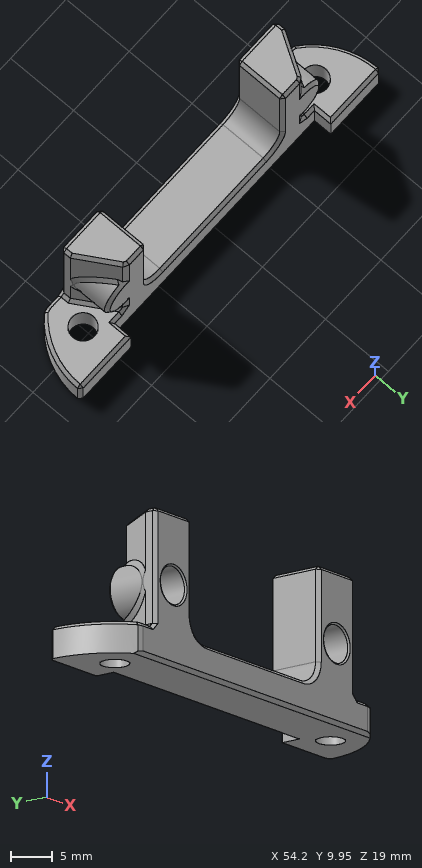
import cadquery as cq
import math

length = 54.2
depth = 9.95
height = 19.0
base_height = 4.05
bevel = 0.5

ear_arc_radius = 11.9
ear_arc_center_y = 9.55
ear_corner_front_x = 21.8
ear_corner_depth = 0.15
ear_inner_x = 18.0
screw_x = 20.9
screw_y = 4.95
screw_diameter = 3.6

body_depth = 7.35
post_inner_x = 12.3
post_outer_x = 19.35
post_straight_depth = 1.5
saddle_radius = 3.0

boss_x = 15.8
boss_z = 10.0
boss_radius = 3.45
bore_diameter = 4.7
bore_bevel = 0.2
bore_depth = 6.4
bore_floor_outer_x = 17.9
bevel_angle = 45

end_x = length / 2
slope_per_depth = (post_outer_x - boss_x) / (body_depth - post_straight_depth)


def ear_arc_x(y):
    """X of the curved end of the right ear at a given Y."""
    rise = ear_arc_center_y - y
    return end_x - ear_arc_radius + math.sqrt(ear_arc_radius**2 - rise**2)


def half_base():
    """Right half of the base: the bridge floor and one ear."""
    middle_y = ear_arc_center_y / 2
    return (
        cq.Workplane("XY")
        .lineTo(ear_corner_front_x, 0)
        .lineTo(ear_arc_x(ear_corner_depth), ear_corner_depth)
        .threePointArc((ear_arc_x(middle_y), middle_y), (end_x, ear_arc_center_y))
        .lineTo(end_x, depth)
        .lineTo(ear_inner_x, depth)
        .lineTo(ear_inner_x, body_depth)
        .lineTo(0, body_depth)
        .close()
        .extrude(base_height)
    )


def post():
    """Right post, with a sloped outer face that narrows it toward the back."""
    return (
        cq.Workplane("XY")
        .moveTo(post_inner_x, 0)
        .lineTo(post_outer_x, 0)
        .lineTo(post_outer_x, post_straight_depth)
        .lineTo(boss_x, body_depth)
        .lineTo(post_inner_x, body_depth)
        .close()
        .extrude(height)
    )


def boss():
    """Boss on a patch of the sloped face, with a bevel around its root.

    Patch and boss are made overlong so that the bevel closes all round, then trimmed to the post.
    """
    reach = length / 5
    patch_half_height = boss_radius + 2 * bevel
    patch_thickness = 1.1
    front_y = post_straight_depth - reach
    back_y = body_depth + reach
    front_x = post_outer_x + slope_per_depth * reach
    back_x = boss_x - slope_per_depth * reach
    patch = (
        cq.Workplane("XY", origin=(0, 0, boss_z))
        .moveTo(front_x, front_y)
        .lineTo(back_x, back_y)
        .lineTo(back_x - patch_thickness, back_y)
        .lineTo(front_x - patch_thickness, front_y)
        .close()
        .extrude(patch_half_height, both=True)
    )
    pin = cq.Workplane("XZ", origin=(boss_x, back_y, boss_z)).circle(boss_radius).extrude(back_y)
    rooted = patch.union(pin).edges("%ELLIPSE").edges(">Y").chamfer(bevel)

    kept_depth = body_depth - post_straight_depth
    post_side = (
        cq.Workplane("XY")
        .box(post_outer_x, kept_depth, height, centered=False)
        .translate((0, post_straight_depth, 0))
    )
    end_bevel = (
        cq.Workplane("XZ", origin=(boss_x, body_depth, boss_z))
        .circle(boss_radius - bevel)
        .extrude(kept_depth, taper=-bevel_angle)
    )
    return rooted.intersect(post_side).intersect(end_bevel)


def is_beveled(edge):
    """True for the edges of the right half that carry the common bevel."""
    center = edge.Center()
    tol = 0.005
    on_front = abs(center.y) < tol
    on_body_back = abs(center.y - body_depth) < tol and center.z > tol
    on_ear_back = abs(center.y - depth) < tol and center.z > tol
    on_post_top = abs(center.z - height) < tol
    on_ear_top = abs(center.z - base_height) < tol and center.x > post_inner_x
    at_ear_front_corner = on_front and center.x > post_outer_x and tol < center.z < base_height - tol
    at_middle = center.x < tol
    in_back_notch = on_body_back and abs(center.x - ear_inner_x) < tol
    at_ear_inner_corner = on_ear_back and abs(center.x - ear_inner_x) < tol
    if at_middle or in_back_notch or at_ear_inner_corner or at_ear_front_corner:
        return False
    return on_front or on_body_back or on_ear_back or on_post_top or on_ear_top


def bore():
    """Blind bore with a beveled mouth; its floor corner slopes like the post."""
    radius = bore_diameter / 2
    mouth_plane = cq.Workplane("XZ", origin=(boss_x, 0, boss_z))
    hole = mouth_plane.circle(radius).extrude(-bore_depth)
    countersink = mouth_plane.circle(radius + bore_bevel).extrude(-bore_bevel, taper=bevel_angle)
    corner_front_x = bore_floor_outer_x + slope_per_depth * bore_depth
    limit = (
        cq.Workplane("XY")
        .lineTo(corner_front_x, 0)
        .lineTo(bore_floor_outer_x, bore_depth)
        .lineTo(0, bore_depth)
        .close()
        .extrude(height)
    )
    return hole.intersect(limit).union(countersink)


half = half_base().union(post())
saddle_corner = cq.selectors.NearestToPointSelector((post_inner_x, body_depth / 2, base_height))
half = half.edges(saddle_corner).fillet(saddle_radius)

beveled_edges = [edge for edge in half.edges().vals() if is_beveled(edge)]
half = half.newObject(beveled_edges).chamfer(bevel)
half = half.union(boss())

screw_hole = cq.Workplane("XY").center(screw_x, screw_y).circle(screw_diameter / 2).extrude(base_height)
half = half.cut(screw_hole).cut(bore())
result = half.union(half.mirror("YZ")).clean()